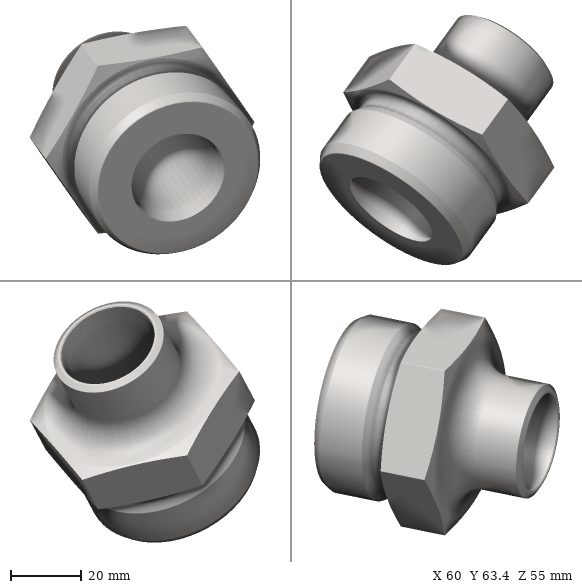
import cadquery as cq
import math

LENGTH = 60.0
ACROSS_CORNERS = 63.4
ACROSS_FLATS = 55.0

SPIGOT_RADIUS = 33.4 / 2
SPIGOT_END = 13.95
BEVEL_TIP_RADIUS = 14.95
BEVEL_SLOPE = math.radians(30)
BEVEL_EDGE_ROUND = 0.2
BORE_RADIUS = 28.2 / 2
BORE_EDGE_CHAMFER = 0.3

FLARE_RADIUS = 8.05
HEX_START = SPIGOT_END + FLARE_RADIUS
HEX_WIDTH = 16.0
HEX_END = HEX_START + HEX_WIDTH
HEX_FACE_RADIUS = 27.0
HEX_CHAMFER_SLOPE = math.radians(15)

NECK_RADIUS = 48.9 / 2
NECK_FILLET = 1.2
THREAD_RADIUS = 52.0 / 2
THREAD_CHAMFER_SLOPE = math.radians(30)
THREAD_START = 44.7
THREAD_END = 57.3
THREAD_EDGE_ROUND = 0.5
END_EDGE_ROUND = 0.4


def round_rim(body, axial_position, rim_radius, round_radius):
    """Round the circular outer edge at the given place along the axis."""
    reach = 0.005
    rim = cq.selectors.BoxSelector(
        (axial_position - reach, -rim_radius - reach, -rim_radius - reach),
        (axial_position + reach, rim_radius + reach, rim_radius + reach),
        boundingbox=True,
    )
    return body.edges(rim).fillet(round_radius)


def make_small_end():
    """Bevelled spigot flaring in a quarter circle up to the hexagon face."""
    bevel_length = (SPIGOT_RADIUS - BEVEL_TIP_RADIUS) * math.tan(BEVEL_SLOPE)
    flare_end_radius = SPIGOT_RADIUS + FLARE_RADIUS
    diagonal = FLARE_RADIUS * math.sin(math.radians(45))
    profile = (
        cq.Workplane("XY")
        .lineTo(0, BEVEL_TIP_RADIUS)
        .lineTo(bevel_length, SPIGOT_RADIUS)
        .lineTo(SPIGOT_END, SPIGOT_RADIUS)
        .threePointArc(
            (SPIGOT_END + diagonal, flare_end_radius - diagonal),
            (HEX_START, flare_end_radius),
        )
        .lineTo(HEX_START, 0)
        .close()
    )
    body = profile.revolve(360, (0, 0), (1, 0))
    return round_rim(body, bevel_length, SPIGOT_RADIUS, BEVEL_EDGE_ROUND)


def make_hexagon():
    """Hexagon with corners on Y, turned to size and chamfered conically on both faces."""
    prism = (
        cq.Workplane("YZ")
        .workplane(offset=HEX_START)
        .polygon(6, ACROSS_FLATS / math.cos(math.radians(30)))
        .extrude(HEX_WIDTH)
    )
    corner_radius = ACROSS_CORNERS / 2
    chamfer_length = (corner_radius - HEX_FACE_RADIUS) * math.tan(HEX_CHAMFER_SLOPE)
    envelope = (
        cq.Workplane("XY")
        .moveTo(HEX_START, 0)
        .lineTo(HEX_START, HEX_FACE_RADIUS)
        .lineTo(HEX_START + chamfer_length, corner_radius)
        .lineTo(HEX_END - chamfer_length, corner_radius)
        .lineTo(HEX_END, HEX_FACE_RADIUS)
        .lineTo(HEX_END, 0)
        .close()
        .revolve(360, (0, 0), (1, 0))
    )
    return prism.intersect(envelope)


def make_large_end():
    """Filleted neck widening to a cylinder chamfered at both ends."""
    neck_diagonal = NECK_FILLET * (1 - math.sin(math.radians(45)))
    rise = THREAD_RADIUS - NECK_RADIUS
    slope = THREAD_CHAMFER_SLOPE
    neck_corner = THREAD_START - rise / math.tan(slope)
    blend_start = neck_corner - NECK_FILLET * math.tan(slope / 2)
    blend_center = NECK_RADIUS + NECK_FILLET

    def blend_point(angle):
        return (
            blend_start + NECK_FILLET * math.sin(angle),
            blend_center - NECK_FILLET * math.cos(angle),
        )

    end_radius = THREAD_RADIUS - (LENGTH - THREAD_END) * math.tan(slope)
    profile = (
        cq.Workplane("XY")
        .moveTo(HEX_END, 0)
        .lineTo(HEX_END, NECK_RADIUS + NECK_FILLET)
        .threePointArc(
            (HEX_END + neck_diagonal, NECK_RADIUS + neck_diagonal),
            (HEX_END + NECK_FILLET, NECK_RADIUS),
        )
        .lineTo(blend_start, NECK_RADIUS)
        .threePointArc(blend_point(slope / 2), blend_point(slope))
        .lineTo(THREAD_START, THREAD_RADIUS)
        .lineTo(THREAD_END, THREAD_RADIUS)
        .lineTo(LENGTH, end_radius)
        .lineTo(LENGTH, 0)
        .close()
    )
    body = profile.revolve(360, (0, 0), (1, 0))
    body = round_rim(body, THREAD_START, THREAD_RADIUS, THREAD_EDGE_ROUND)
    body = round_rim(body, THREAD_END, THREAD_RADIUS, THREAD_EDGE_ROUND)
    return round_rim(body, LENGTH, end_radius, END_EDGE_ROUND)


def make_bore():
    """Straight through bore with a broken edge at the small end."""
    mouth_radius = BORE_RADIUS + BORE_EDGE_CHAMFER
    profile = (
        cq.Workplane("XY")
        .lineTo(0, mouth_radius)
        .lineTo(BORE_EDGE_CHAMFER, BORE_RADIUS)
        .lineTo(LENGTH, BORE_RADIUS)
        .lineTo(LENGTH, 0)
        .close()
    )
    return profile.revolve(360, (0, 0), (1, 0))


result = make_small_end().union(make_hexagon()).union(make_large_end()).cut(make_bore())